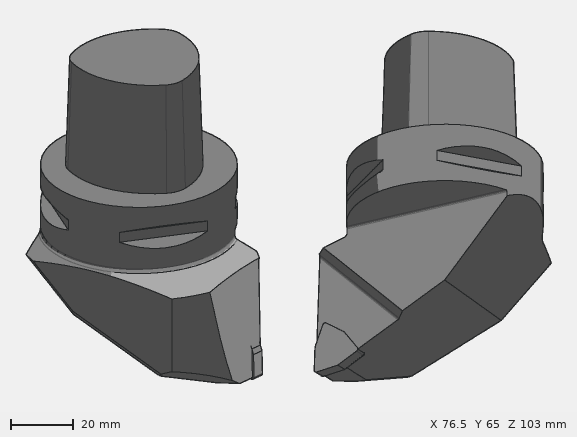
import cadquery as cq
import math


def sin_deg(angle):
    return math.sin(math.radians(angle))


def cos_deg(angle):
    return math.cos(math.radians(angle))


def tan_deg(angle):
    return math.tan(math.radians(angle))


SHANK_LENGTH = 38.0
SHANK_LOBE_REACH = 23.5
SHANK_FLANK_REACH = 20.55
SHANK_LOBE_RADIUS = 9.2
SHANK_TAPER_INSET = 1.3
LOBE_ANGLES = (90, 210, 330)
THIRD_TURN = 120.0
FLANGE_RADIUS = 31.5
FLANGE_THICKNESS = 20.0

SLOT_ANGLES = (45, 135, 225, 315)
SLOT_FLOOR_DISTANCE = 27.85
SLOT_MIDDLE_Z = -11.0
SLOT_FLOOR_HEIGHT = 3.5
SLOT_WALL_ANGLE = 31.5

NECK_Z = -22.0
NECK_FILLET_RADIUS = 1.2
SHOULDER_SLOPE = 15.0
HEAD_RADIUS = 45.1

TIP = cq.Vector(45.0, 0.0, -65.0)
INSERT_INRADIUS = 6.35
INSERT_THICKNESS = 4.76
NOSE_RADIUS = 0.8
CORNER_ANGLE = 80.0
CUTTING_CORNER = -45.0
INSERT_CORNERS = [CUTTING_CORNER + THIRD_TURN * turn for turn in range(3)]
RAKE_ANGLE = 6.0
LEAD_ANGLE = 5.0

FRONT_DISTANCE = 33.46
HEEL_ANGLE = 45.0
HEEL_TOP_Z = -18.0
FRONT_BEVEL = 3.0
BACK_RISE = 2.83
SIDE_SETBACK = 0.65
SOLE_ANGLE = 24.4
SOLE_SETBACK = 0.42
POCKET_WALL_AZIMUTH = -45.0
POCKET_WALL_DISTANCE = 47.8
POCKET_WALL_RUN = 0.9
POCKET_FILLET_RADIUS = 1.0
BACK_FILLET_RADIUS = 0.6
RELIEF_TILT = 20.9
RELIEF_AZIMUTH = -94.5
RELIEF_POINT = cq.Vector(26.3, -31.9, -56.0)
CORNER_CUT_TILT = 41.2
CORNER_CUT_AZIMUTH = -59.0
CORNER_CUT_Z = -52.5

TOOL_SIZE = 300.0

rake_slope_x = -tan_deg(RAKE_ANGLE) * (cos_deg(LEAD_ANGLE) + sin_deg(LEAD_ANGLE))
rake_slope_z = tan_deg(RAKE_ANGLE) * (cos_deg(LEAD_ANGLE) - sin_deg(LEAD_ANGLE))
rake_plane = cq.Plane(TIP, (1, rake_slope_x, 0), (rake_slope_x, -1, rake_slope_z))
rake_up = rake_plane.zDir * -1
rake_distance = rake_up.dot(TIP)

nose_to_center = (INSERT_INRADIUS - NOSE_RADIUS) / sin_deg(CORNER_ANGLE / 2)
insert_center_x = -NOSE_RADIUS - nose_to_center * cos_deg(CUTTING_CORNER)
insert_center_y = NOSE_RADIUS - nose_to_center * sin_deg(CUTTING_CORNER)
insert_center = rake_plane.toWorldCoords((insert_center_x, insert_center_y))


def half_space(normal, distance):
    """Block filling everything beyond the plane normal . r = distance."""
    unit = normal.normalized()
    base = cq.Plane(origin=unit * (distance / normal.Length), normal=unit)
    return cq.Workplane(base).rect(2 * TOOL_SIZE, 2 * TOOL_SIZE).extrude(TOOL_SIZE)


def trim(body, normal, distance):
    return body.cut(half_space(normal, distance))


def insert_side_face(angle, setback):
    """Plane square to the rake face, set back from the insert edge facing the given local angle."""
    normal = rake_plane.xDir * cos_deg(angle) + rake_plane.yDir * sin_deg(angle)
    return normal, normal.dot(insert_center) + INSERT_INRADIUS - setback


def downward_normal(tilt, azimuth):
    return cq.Vector(
        sin_deg(tilt) * cos_deg(azimuth),
        sin_deg(tilt) * sin_deg(azimuth),
        -cos_deg(tilt),
    )


def polar(radius, angle):
    return cq.Vector(radius * cos_deg(angle), radius * sin_deg(angle), 0)


def shank_outline(z, inset):
    """Three lobe arcs joined by three tangent flank arcs, moved inward by the inset."""
    lobe_center = SHANK_LOBE_REACH - SHANK_LOBE_RADIUS
    flank = SHANK_FLANK_REACH
    flank_radius = (
        lobe_center**2 + flank**2 - lobe_center * flank - SHANK_LOBE_RADIUS**2
    ) / (2 * flank - lobe_center - 2 * SHANK_LOBE_RADIUS)
    flank_center = flank_radius - flank
    across = flank_center * sin_deg(THIRD_TURN / 2)
    along = lobe_center + flank_center * cos_deg(THIRD_TURN / 2)
    half_sweep = math.degrees(math.atan2(across, along))

    def lobe_point(angle, turn):
        return polar(lobe_center, angle) + polar(SHANK_LOBE_RADIUS - inset, angle + turn)

    outline = cq.Workplane("XY").workplane(offset=z)
    start = lobe_point(LOBE_ANGLES[0], -half_sweep)
    outline = outline.moveTo(start.x, start.y)
    for angle in LOBE_ANGLES:
        lobe_tip = lobe_point(angle, 0)
        lobe_end = lobe_point(angle, half_sweep)
        flank_middle = polar(flank - inset, angle + THIRD_TURN / 2)
        next_lobe = lobe_point(angle + THIRD_TURN, -half_sweep)
        outline = outline.threePointArc(lobe_tip.toTuple()[:2], lobe_end.toTuple()[:2])
        outline = outline.threePointArc(flank_middle.toTuple()[:2], next_lobe.toTuple()[:2])
    return outline.close().wires().val()


def make_shank():
    bottom = shank_outline(0, 0)
    top = shank_outline(SHANK_LENGTH, SHANK_TAPER_INSET)
    return cq.Workplane(cq.Solid.makeLoft([bottom, top], True))


def make_gripper_slot(angle):
    depth = FLANGE_RADIUS - SLOT_FLOOR_DISTANCE
    floor_half = SLOT_FLOOR_HEIGHT / 2
    mouth_half = floor_half + depth * tan_deg(SLOT_WALL_ANGLE)
    return (
        cq.Workplane("XZ")
        .polyline([
            (SLOT_FLOOR_DISTANCE, SLOT_MIDDLE_Z - floor_half),
            (FLANGE_RADIUS, SLOT_MIDDLE_Z - mouth_half),
            (FLANGE_RADIUS, SLOT_MIDDLE_Z + mouth_half),
            (SLOT_FLOOR_DISTANCE, SLOT_MIDDLE_Z + floor_half),
        ])
        .close()
        .extrude(FLANGE_RADIUS, both=True)
        .rotate((0, 0, 0), (0, 0, 1), angle)
    )


def make_flange():
    flange = cq.Workplane("XY").circle(FLANGE_RADIUS).extrude(-FLANGE_THICKNESS)
    for angle in SLOT_ANGLES:
        flange = flange.cut(make_gripper_slot(angle))
    return flange


def make_head_blank():
    """Neck fillet, conical shoulder and round side, revolved about Z."""
    fillet_turn = 90 - SHOULDER_SLOPE

    def fillet_point(turn):
        radius = FLANGE_RADIUS + NECK_FILLET_RADIUS * (1 - cos_deg(turn))
        return radius, NECK_Z - NECK_FILLET_RADIUS * sin_deg(turn)

    cone_start = fillet_point(fillet_turn)
    shoulder_z = cone_start[1] - (HEAD_RADIUS - cone_start[0]) * tan_deg(SHOULDER_SLOPE)
    return (
        cq.Workplane("XZ")
        .moveTo(0, -FLANGE_THICKNESS)
        .lineTo(FLANGE_RADIUS, -FLANGE_THICKNESS)
        .lineTo(FLANGE_RADIUS, NECK_Z)
        .threePointArc(fillet_point(fillet_turn / 2), cone_start)
        .lineTo(HEAD_RADIUS, shoulder_z)
        .lineTo(HEAD_RADIUS, TIP.z)
        .lineTo(0, TIP.z)
        .close()
        .revolve(360, (0, 0), (0, 1))
    )


def make_chip_pocket():
    """Space above the rake face, closed by a sloped wall with a rounded foot."""
    wall_normal = cq.Vector(cos_deg(POCKET_WALL_AZIMUTH), 0, sin_deg(POCKET_WALL_AZIMUTH))
    wall_normal += rake_up * POCKET_WALL_RUN
    wall_distance = POCKET_WALL_DISTANCE + POCKET_WALL_RUN * rake_distance
    pocket = half_space(rake_up, rake_distance).intersect(half_space(wall_normal, wall_distance))
    return pocket.edges(cq.NearestToPointSelector(TIP.toTuple())).fillet(POCKET_FILLET_RADIUS)


def make_back_space():
    """Space behind the back face and under the flange, rounded where the two meet."""
    behind = half_space(rake_up, rake_distance + BACK_RISE)
    space = behind.intersect(half_space(cq.Vector(0, 0, -1), FLANGE_THICKNESS))
    flange_corner = (0, 0, -FLANGE_THICKNESS)
    return space.edges(cq.NearestToPointSelector(flange_corner)).fillet(BACK_FILLET_RADIUS)


def make_holder(insert):
    front = (cq.Vector(0, -1, 0), FRONT_DISTANCE)
    heel_normal = downward_normal(HEEL_ANGLE, 180)
    heel = (heel_normal, heel_normal.dot(cq.Vector(-FLANGE_RADIUS, 0, HEEL_TOP_Z)))
    side = insert_side_face(LEAD_ANGLE, SIDE_SETBACK)
    end = insert_side_face(-90 - LEAD_ANGLE, SIDE_SETBACK)
    sole = insert_side_face(-90 - SOLE_ANGLE, SOLE_SETBACK)

    head = make_flange().union(make_head_blank())
    for normal, distance in (front, side, end, sole):
        head = trim(head, normal, distance)
    head = head.cut(make_back_space()).cut(make_chip_pocket())

    for normal, distance in (heel, sole):
        head = trim(head, normal + front[0], distance + front[1] - FRONT_BEVEL)

    relief_normal = downward_normal(RELIEF_TILT, RELIEF_AZIMUTH)
    head = trim(head, relief_normal, relief_normal.dot(RELIEF_POINT))

    corner_normal = downward_normal(CORNER_CUT_TILT, CORNER_CUT_AZIMUTH)
    corner_x = math.sqrt(HEAD_RADIUS**2 - FRONT_DISTANCE**2)
    corner_point = cq.Vector(corner_x, -FRONT_DISTANCE, CORNER_CUT_Z)
    head = trim(head, corner_normal, corner_normal.dot(corner_point))

    head = trim(head, *heel)
    return make_shank().union(head).cut(insert)


def make_insert():
    """Trigon plate whose top lies in the rake plane, one corner at the tip."""
    blunt_reach = INSERT_INRADIUS / sin_deg(CORNER_ANGLE)
    nose_half_sweep = 90 - CORNER_ANGLE / 2
    outline = cq.Workplane(rake_plane).center(insert_center_x, insert_center_y)
    start = polar(blunt_reach, INSERT_CORNERS[0] - THIRD_TURN / 2)
    outline = outline.moveTo(start.x, start.y)
    for corner in INSERT_CORNERS:
        nose_center = polar(nose_to_center, corner)
        nose_start = nose_center + polar(NOSE_RADIUS, corner - nose_half_sweep)
        nose_tip = nose_center + polar(NOSE_RADIUS, corner)
        nose_end = nose_center + polar(NOSE_RADIUS, corner + nose_half_sweep)
        blunt_corner = polar(blunt_reach, corner + THIRD_TURN / 2)
        outline = outline.lineTo(nose_start.x, nose_start.y)
        outline = outline.threePointArc((nose_tip.x, nose_tip.y), (nose_end.x, nose_end.y))
        outline = outline.lineTo(blunt_corner.x, blunt_corner.y)
    return outline.close().extrude(INSERT_THICKNESS)


insert = make_insert()
holder = make_holder(insert)
result = cq.Compound.makeCompound([holder.solids().val(), insert.val()])